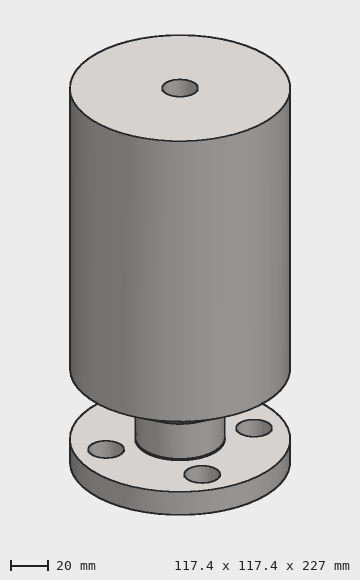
import cadquery as cq

total_height = 227.0
body_diameter = 117.4
collar_diameter = 48.0
neck_diameter = 47.7
bore_diameter = 19.0
flange_thickness = 14.0
collar_height = 1.0
neck_height = 21.0
cone_height = 20.7
bolt_hole_diameter = 19.0
bolt_circle_diameter = 82.2
bolt_hole_count = 4

body_radius = body_diameter / 2
collar_radius = collar_diameter / 2
neck_radius = neck_diameter / 2
collar_top = flange_thickness + collar_height
neck_top = collar_top + neck_height
cone_top = neck_top + cone_height


def turned_body():
    """Flange, low collar, neck, cone and cylinder turned as one half profile about Z."""
    half_profile = (
        cq.Workplane("XZ")
        .moveTo(0, 0)
        .lineTo(body_radius, 0)
        .lineTo(body_radius, flange_thickness)
        .lineTo(collar_radius, flange_thickness)
        .lineTo(collar_radius, collar_top)
        .lineTo(neck_radius, collar_top)
        .lineTo(neck_radius, neck_top)
        .lineTo(body_radius, cone_top)
        .lineTo(body_radius, total_height)
        .lineTo(0, total_height)
        .close()
    )
    return half_profile.revolve(360, (0, 0, 0), (0, 1, 0))


def center_bore():
    """Bore along Z through the full height."""
    return cq.Workplane("XY").circle(bore_diameter / 2).extrude(total_height)


def bolt_holes():
    """Ring of holes through the flange, the first one on +X."""
    return (
        cq.Workplane("XY")
        .polarArray(bolt_circle_diameter / 2, 0, 360, bolt_hole_count)
        .circle(bolt_hole_diameter / 2)
        .extrude(flange_thickness)
    )


result = turned_body().cut(center_bore()).cut(bolt_holes())